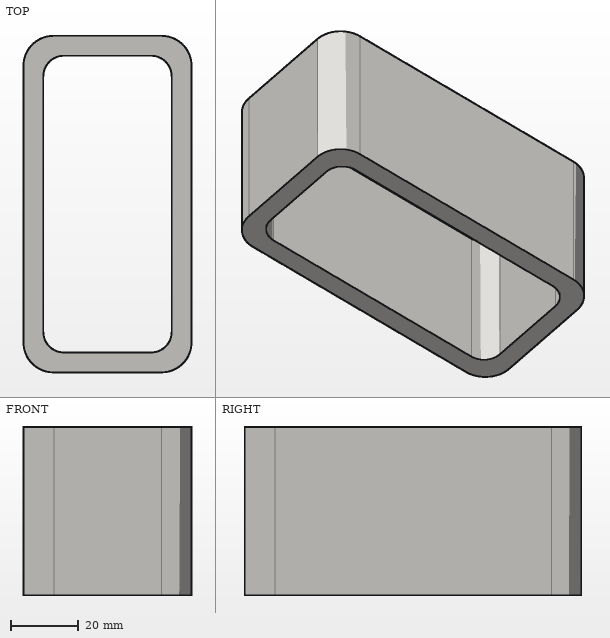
import cadquery as cq

width = 50.0
depth = 100.0
length = 50.0
wall = 6.0

outer_radius = 1.5 * wall
inner_radius = wall


def rounded_bar(size_x, size_y, corner_radius):
    """Solid bar along Z with its four long edges rounded."""
    bar = cq.Workplane("XY").rect(size_x, size_y).extrude(length)
    return bar.edges("|Z").fillet(corner_radius)


outer_bar = rounded_bar(width, depth, outer_radius)
bore = rounded_bar(width - 2 * wall, depth - 2 * wall, inner_radius)

result = outer_bar.cut(bore)